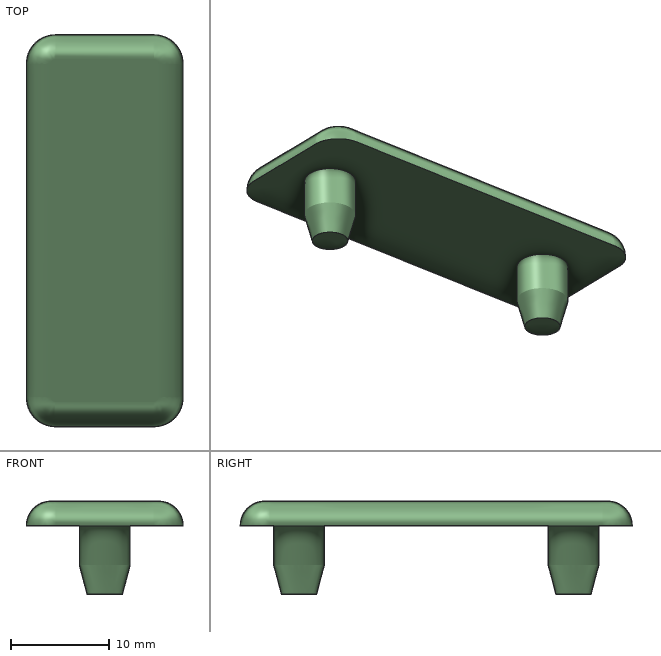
import cadquery as cq

plate_length = 40.0
plate_width = 16.0
plate_thickness = 2.5
corner_radius = 3.0
edge_gap = 0.005
edge_radius = plate_thickness - edge_gap

pin_spacing = 28.0
pin_diameter = 5.2
tip_diameter = 3.6
shank_length = 4.0
tip_length = 3.0


def make_plate():
    """Plate with its underside on Z = 0."""
    return (
        cq.Workplane("XY")
        .rect(plate_width, plate_length)
        .extrude(plate_thickness)
        .edges("|Z")
        .fillet(corner_radius)
        .faces(">Z")
        .edges()
        .fillet(edge_radius)
    )


def make_pin(y):
    """Pin hanging below the plate, revolved about its own axis."""
    pin_radius = pin_diameter / 2
    tip_radius = tip_diameter / 2
    pin_length = shank_length + tip_length
    top = plate_thickness / 2
    return (
        cq.Workplane("XZ")
        .moveTo(0, top)
        .lineTo(pin_radius, top)
        .lineTo(pin_radius, -shank_length)
        .lineTo(tip_radius, -pin_length)
        .lineTo(0, -pin_length)
        .close()
        .revolve(360, (0, 0), (0, 1))
        .translate((0, y, 0))
    )


result = make_plate()
for side in (-1, 1):
    result = result.union(make_pin(side * pin_spacing / 2))